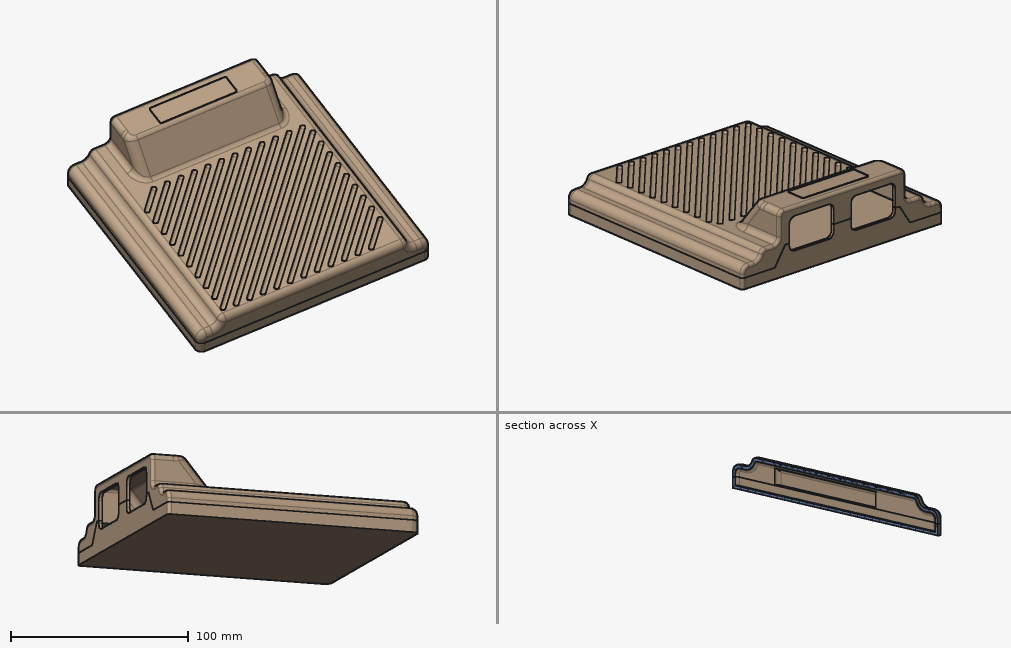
import cadquery as cq
import math

length = 150.5
width = 150.0
height = 40.8
half_width = width / 2
wall = 2.0

deck_z = 21.0
deck_half_width = 57.3
shelf_z = 14.67
shelf_inner_y = 66.0
shelf_edge_radius = 5.1
deck_edge_radius = 4.0
step_drop = deck_z - shelf_z
step_run = shelf_inner_y - deck_half_width
step_root_radius = (step_run**2 + step_drop**2) / (2 * step_drop) - deck_edge_radius

hood_half_width = 47.5
hood_top_x = 21.0
hood_foot_x = 37.6
hood_edge_radius = 3.8
hood_corner_radius = 6.0
hood_root_radius = 3.8
slope_angle = math.atan2(height - deck_z, hood_foot_x - hood_top_x)

front_round = wall
back_round = 2 * wall

window_width = 33.1
window_centre_y = 23.0
window_bottom_z = 13.4
window_top_z = 34.6
window_radius = 4.0

seam_z = 7.0
seam_raised_z = 19.0
seam_foot_y = 50.5
seam_shoulder_y = 42.7
seam_bend_radius = 1.5
pillar_z = 21.5
pillar_half_width = window_centre_y - window_width / 2

groove_count = 21
groove_radius = 1.5
groove_pitch_y = 8.75
groove_slope = 0.912
first_groove_y = -43.8
groove_min_x = 44.5
groove_max_x = 144.3
groove_max_y = 55.4

label_length = 13.2
label_width = 49.7
label_centre_x = 12.0
label_radius = 1.0
label_depth = 0.3

back_wall = 2 * wall
cavity_end_radius = wall
recess_depth = 2.4
recess_min_y = -28.6
recess_max_y = 45.2
recess_top_z = deck_z - wall - cavity_end_radius


def stepped_bar(inset, x_start, x_end, z_bottom):
    """Bar with the stepped cross-section, its sides and top moved inward by inset."""
    side_y = half_width - inset
    edge_r = shelf_edge_radius - inset
    deck_r = deck_edge_radius - inset
    root_r = step_root_radius + inset
    top_z = deck_z - inset
    low_z = shelf_z - inset
    edge_y = half_width - shelf_edge_radius
    edge_centre_z = shelf_z - shelf_edge_radius
    deck_centre_z = deck_z - deck_edge_radius
    root_centre_z = shelf_z + step_root_radius
    step_angle = math.atan2(root_centre_z - deck_centre_z, step_run)
    step_mid_angle = (step_angle + math.pi / 2) / 2
    diagonal = math.sqrt(0.5)

    def on_root(angle):
        return (shelf_inner_y - root_r * math.cos(angle), root_centre_z - root_r * math.sin(angle))

    def on_deck_edge(angle):
        return (deck_half_width + deck_r * math.cos(angle), deck_centre_z + deck_r * math.sin(angle))

    half = (
        cq.Workplane("YZ", origin=(x_start, 0, 0))
        .moveTo(0, z_bottom)
        .lineTo(side_y, z_bottom)
        .lineTo(side_y, edge_centre_z)
        .threePointArc((edge_y + edge_r * diagonal, edge_centre_z + edge_r * diagonal), (edge_y, low_z))
        .lineTo(shelf_inner_y, low_z)
        .threePointArc(on_root(step_mid_angle), on_root(step_angle))
        .threePointArc(on_deck_edge(step_mid_angle), (deck_half_width, top_z))
        .lineTo(0, top_z)
        .close()
        .extrude(x_end - x_start)
    )
    return half.union(half.mirror("XZ"))


def hood(inset, x_start):
    """Wedge-ended hood, its sides, top and slope moved inward by inset; it starts below the deck."""
    top_z = height - inset
    foot_z = seam_z
    slope_shift = inset / math.sin(slope_angle)

    def slope_x(z):
        return hood_foot_x - slope_shift - (z - deck_z) / math.tan(slope_angle)

    half_y = hood_half_width - inset
    block = (
        cq.Workplane("XZ", origin=(0, half_y, 0))
        .polyline([(x_start, foot_z), (slope_x(foot_z), foot_z), (slope_x(top_z), top_z), (x_start, top_z)])
        .close()
        .extrude(2 * half_y)
    )
    slope_line = cq.selectors.ParallelDirSelector(cq.Vector(-math.cos(slope_angle), 0, math.sin(slope_angle)))
    block = block.edges(slope_line).fillet(hood_corner_radius - inset)
    return block.faces(">Z").edges("not <X").fillet(hood_edge_radius - inset)


def outer_form():
    """Solid outside shape, blended at the hood's root and rounded around both end faces."""
    form = stepped_bar(0, 0, length, 0).union(hood(0, 0))
    reach = hood_half_width + wall
    root_edges = cq.selectors.BoxSelector(
        (-wall, -reach, deck_z - wall), (hood_foot_x + wall, reach, deck_z + wall)
    )
    form = form.faces(">Z[-2]").edges(root_edges).fillet(hood_root_radius)
    form = form.faces(">X").edges("not <Z").fillet(back_round)
    return form.faces("<X").edges("not <Z").fillet(front_round)


def cavity():
    """Inside space, one wall thickness in from the outside and rounded at the back."""
    bar = stepped_bar(wall, wall, length - back_wall, wall)
    bar = bar.faces(">X").edges("not <Z").fillet(cavity_end_radius)
    return bar.union(hood(wall, wall))


def windows():
    """Two rounded openings through the front wall."""
    window_height = window_top_z - window_bottom_z
    return (
        cq.Workplane("YZ")
        .pushPoints([(side * window_centre_y, (window_bottom_z + window_top_z) / 2) for side in (-1, 1)])
        .rect(window_width, window_height)
        .extrude(wall)
        .edges("|X")
        .fillet(window_radius)
    )


def groove_cutter(index):
    """Round-bottomed groove along y = offset - slope * x, clipped to the grooved rectangle."""
    offset = first_groove_y + index * groove_pitch_y + groove_slope * groove_min_x
    start_x = max(groove_min_x, (offset - groove_max_y) / groove_slope)
    end_x = min(groove_max_x, (offset + groove_max_y) / groove_slope)
    start = cq.Vector(start_x, offset - groove_slope * start_x, deck_z)
    end = cq.Vector(end_x, offset - groove_slope * end_x, deck_z)
    run = end - start
    middle = run.Length / 2
    axis_plane = cq.Plane(origin=((start + end) / 2).toTuple(), xDir=run, normal=cq.Vector(0, 0, 1).cross(run))
    tip_reach = groove_radius * math.sqrt(0.5)
    return (
        cq.Workplane(axis_plane)
        .moveTo(-middle - groove_radius, 0)
        .threePointArc((-middle - tip_reach, tip_reach), (-middle, groove_radius))
        .lineTo(middle, groove_radius)
        .threePointArc((middle + tip_reach, tip_reach), (middle + groove_radius, 0))
        .close()
        .revolve(360, (0, 0), (1, 0))
    )


def label_recess():
    """Shallow rounded recess in the top of the hood."""
    return (
        cq.Workplane("XY", origin=(label_centre_x, 0, height - label_depth))
        .rect(label_length, label_width)
        .extrude(label_depth)
        .edges("|Z")
        .fillet(label_radius)
    )


def back_recess():
    """Recess in the inner side of the back wall, with its deep edges rounded."""
    inner_x = length - back_wall
    block = cq.Workplane("XY").box(
        back_wall + recess_depth, recess_max_y - recess_min_y, recess_top_z - seam_z, centered=False
    )
    block = block.translate((inner_x - back_wall, recess_min_y, seam_z))
    return block.faces(">X").edges("not <Z").fillet(recess_depth)


def enclosure():
    """Hollow enclosure before it is split into base and cover."""
    hollow = outer_form().cut(cavity()).cut(windows()).cut(label_recess()).cut(back_recess())
    for index in range(groove_count):
        hollow = hollow.cut(groove_cutter(index))
    return hollow


def base_zone():
    """Space taken by the base: all below the seam, and the raised middle of the front wall."""
    tray = cq.Workplane("XY").box(length, width, seam_z, centered=(False, True, False))
    raised = (
        cq.Workplane("YZ")
        .polyline(
            [
                (-half_width, 0),
                (-half_width, seam_z),
                (-seam_foot_y, seam_z),
                (-seam_shoulder_y, seam_raised_z),
                (seam_shoulder_y, seam_raised_z),
                (seam_foot_y, seam_z),
                (half_width, seam_z),
                (half_width, 0),
            ]
        )
        .close()
        .extrude(wall)
    )
    bends = cq.selectors.BoxSelector(
        (0, -seam_foot_y - wall, seam_z - wall), (wall, seam_foot_y + wall, seam_raised_z + wall)
    )
    raised = raised.edges("|X").edges(bends).fillet(seam_bend_radius)
    pillar = cq.Workplane("XY").box(wall, 2 * pillar_half_width, pillar_z, centered=(False, True, False))
    return tray.union(raised).union(pillar)


whole = enclosure()
zone = base_zone()
base = whole.intersect(zone)
cover = whole.cut(zone)

result = cq.Compound.makeCompound([*base.solids().vals(), *cover.solids().vals()])